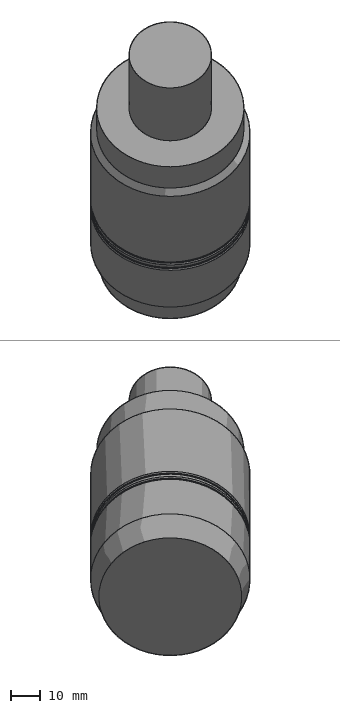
import cadquery as cq

total_height = 117.0
stem_length = 30.0
collar_length = 12.0
shoulder_height = 2.0
nose_height = 10.3
stem_base = total_height - stem_length
collar_base = stem_base - collar_length
body_top = collar_base - shoulder_height

stem_radius = 28.0 / 2
collar_radius = 50.0 / 2
body_radius = 54.0 / 2
nose_end_radius = 48.4 / 2
nose_mid_radius = 50.5 / 2

groove_radius = 53.2 / 2
groove_depth = body_radius - groove_radius
groove_width = 1.5
groove_pitch = 3.0
lower_groove_base = 31.1
groove_count = 2

hole_radius = 10.3 / 2
hole_center_height = 99.8


def turned_body():
    """Revolve the stepped outline, with its slightly hollow nose, about Z."""
    return (
        cq.Workplane("XZ")
        .lineTo(nose_end_radius, 0)
        .threePointArc((nose_mid_radius, nose_height / 2), (body_radius, nose_height))
        .lineTo(body_radius, body_top)
        .lineTo(collar_radius, collar_base)
        .lineTo(collar_radius, stem_base)
        .lineTo(stem_radius, stem_base)
        .lineTo(stem_radius, total_height)
        .lineTo(0, total_height)
        .close()
        .revolve(360, (0, 0, 0), (0, 1, 0))
    )


def ring_groove(base_height):
    """Ring of material to remove for one groove; its mouth widens outward."""
    outer_radius = body_radius + groove_depth
    mouth_top = base_height + groove_width
    return (
        cq.Workplane("XZ")
        .moveTo(outer_radius, base_height - groove_depth)
        .lineTo(groove_radius, base_height + groove_depth)
        .lineTo(groove_radius, mouth_top - groove_depth)
        .lineTo(outer_radius, mouth_top + groove_depth)
        .close()
        .revolve(360, (0, 0, 0), (0, 1, 0))
    )


def cross_hole():
    """Cylinder running from the stem axis out through the +Y side."""
    return (
        cq.Workplane("XZ", origin=(0, 0, hole_center_height))
        .circle(hole_radius)
        .extrude(-collar_radius)
    )


result = turned_body().cut(cross_hole())
for index in range(groove_count):
    result = result.cut(ring_groove(lower_groove_base + index * groove_pitch))